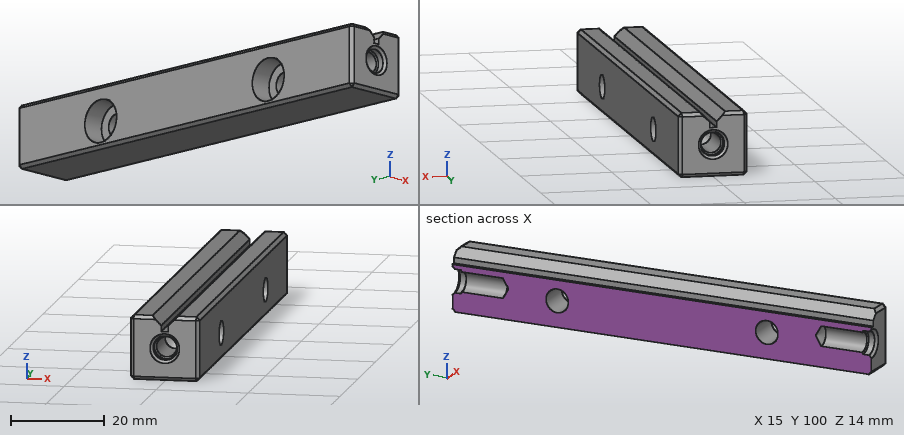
import cadquery as cq
import math

width = 15.0
length = 100.0
height = 14.0
edge_chamfer = 0.75
top_z = height / 2
end_y = length / 2

groove_mouth = 5.5
slot_width = 1.5
groove_depth = 3.3
v_depth = (groove_mouth - slot_width) / 2

end_hole_mouth = 6.4
wide_bore_diameter = 5.2
wide_bore_depth = 2.0
narrow_bore_diameter = 4.4
narrow_bore_depth = 12.0
countersink_depth = (end_hole_mouth - wide_bore_diameter) / 2
drill_point_angle = 118.0

screw_hole_diameter = 5.2
counterbore_diameter = 9.5
counterbore_depth = 5.1
screw_spacing = 50.0
screw_hole_height = 6.0
screw_hole_z = screw_hole_height - height / 2


def make_bar():
    bar = cq.Workplane("XY").box(width, length, height)
    return bar.edges().chamfer(edge_chamfer)


def make_groove():
    half_mouth = groove_mouth / 2
    half_slot = slot_width / 2
    outline = [
        (-half_mouth, top_z),
        (-half_slot, top_z - v_depth),
        (-half_slot, top_z - groove_depth),
        (half_slot, top_z - groove_depth),
        (half_slot, top_z - v_depth),
        (half_mouth, top_z),
    ]
    return cq.Workplane("XZ").polyline(outline).close().extrude(end_y, both=True)


def make_end_hole():
    """Hole opening at the -Y end, turned about the bar's long axis."""
    wide_radius = wide_bore_diameter / 2
    narrow_radius = narrow_bore_diameter / 2
    cone_slope = 1 / math.tan(math.radians(drill_point_angle / 2))
    shoulder_height = (wide_radius - narrow_radius) * cone_slope
    tip_height = narrow_radius * cone_slope
    profile = [
        (0, -end_y),
        (end_hole_mouth / 2, -end_y),
        (wide_radius, -end_y + countersink_depth),
        (wide_radius, -end_y + wide_bore_depth),
        (narrow_radius, -end_y + wide_bore_depth + shoulder_height),
        (narrow_radius, -end_y + narrow_bore_depth),
        (0, -end_y + narrow_bore_depth + tip_height),
    ]
    return cq.Workplane("XY").polyline(profile).close().revolve(360, (0, 0), (0, 1))


def make_screw_hole(y):
    side = cq.Workplane("YZ", origin=(-width / 2, y, screw_hole_z))
    bore = side.circle(screw_hole_diameter / 2).extrude(width)
    counterbore = side.circle(counterbore_diameter / 2).extrude(counterbore_depth)
    return bore.union(counterbore)


end_hole = make_end_hole()
result = make_bar().cut(make_groove()).cut(end_hole).cut(end_hole.mirror("XZ"))
for hole_y in (-screw_spacing / 2, screw_spacing / 2):
    result = result.cut(make_screw_hole(hole_y))